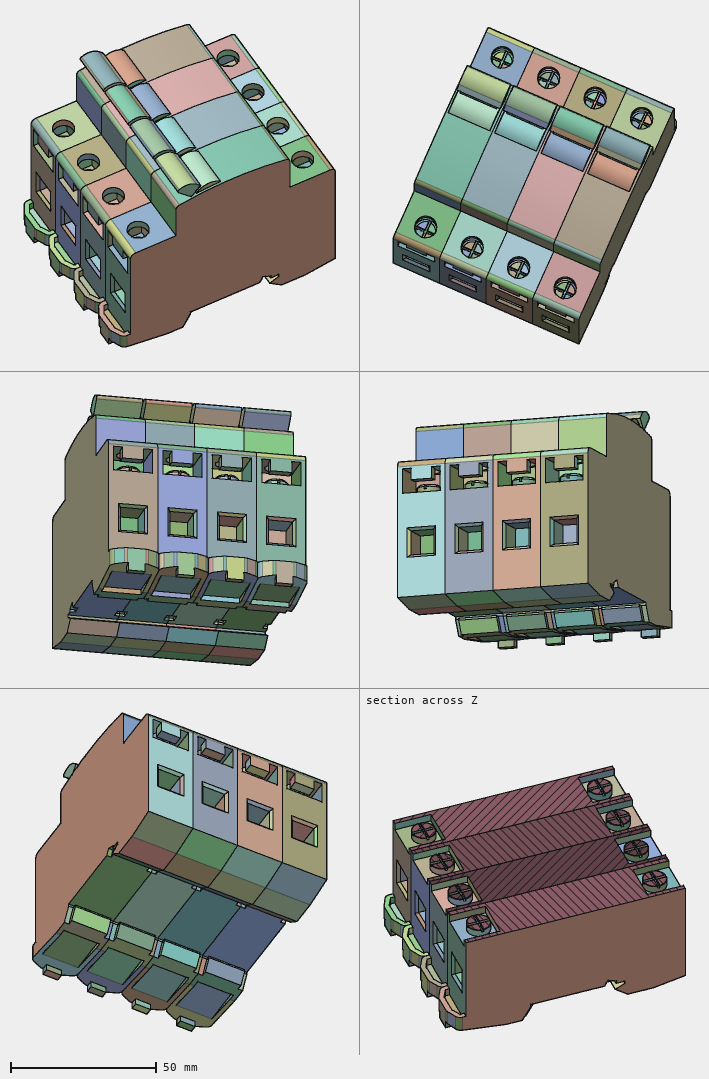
import cadquery as cq
import math

POLE_COUNT = 4
POLE_WIDTH = 17.5
MID_X = POLE_WIDTH / 2

DEPTH = 80.9
MID_Y = DEPTH / 2
SHOULDER_Z = 50.0
SHOULDER_RADIUS = 2.15
CROWN_DEPTH = 44.9
CROWN_FRONT = MID_Y - CROWN_DEPTH / 2
CROWN_BACK = MID_Y + CROWN_DEPTH / 2
CROWN_EDGE_Z = 65.2
CROWN_TOP_Z = 67.5
CROWN_EDGE_RADIUS = 1.7
FOOT_FRONT_Y = 14.8
FOOT_FRONT_RISE = 2.1
FOOT_BACK_Y = 69.05
FOOT_BACK_RISE = 2.0

SLOT_FRONT_Y = 23.8
SLOT_BACK_Y = 58.6
SLOT_TOP_Z = 6.2
SLOT_LIP_Z = 5.3
FRONT_JAW_FOOT_Y = 20.8
HOOK_TIP_Y = 55.0
HOOK_TIP_Z = 3.6
HOOK_FOOT_Y = 59.65
NOTCH_OUTLINE = [(55.3, SLOT_TOP_Z), (55.6, 7.15), (52.4, 8.5), (51.1, SLOT_TOP_Z)]
NOTCH_DEPTH = 1.7

CLIP_INNER_WIDTH = 14.0
CLIP_REACH = 5.3
CLIP_SIDE_LENGTH = 2.8
CLIP_NOSE_WIDTH = 7.5
CLIP_CORNER_RADIUS = 2.3
CLIP_TOP_Z = 8.2
CLIP_POCKET_DEPTH = 2.8
CLIP_POCKET_SIDE = 1.55
CLIP_POCKET_REACH = 3.3
CLIP_TAB_WIDTH = 5.9
CLIP_TAB_LENGTH = 2.7
CLIP_TAB_TOP_Z = 3.0
CLIP_CHANNEL_Z = 1.8
CLIP_CHANNEL_END_Y = 17.2
TONGUE_TIP_Y = 25.4
TONGUE_FLAT_Z = 4.6
TONGUE_FOOT_Y = 22.75

CHAMBER_WIDTH = 13.8
CHAMBER_DEPTH = 13.3
CHAMBER_FLOOR_Z = 38.45
CHAMBER_TOP_Z = 47.1
BLOCK_WIDTH = 7.5
BLOCK_DEPTH = 3.45
BLOCK_BOTTOM_Z = 43.0
SCREW_Y = 8.0
SCREW_HOLE_DIAMETER = 7.6
SCREW_DIAMETER = 8.45
SCREW_HEIGHT = 3.5
SCREW_CHAMFER = 0.9
CROSS_WIDTH = 0.8
CROSS_DEPTH = 1.6
WIRE_MOUTH_SIZE = 10.35
WIRE_SIZE = 8.45
WIRE_TAPER_DEPTH = 1.0
WIRE_DEPTH = 10.35
WIRE_Z = 21.0

HUB_Y = 31.7
HUB_Z = 62.8
HUB_RADIUS = 6.4
HUB_WIDTH = 15.7
TILT = 45
NECK_WIDTH = 13.8
NECK_THICKNESS = 2.9
LEVER_WIDTH = 16.4
LEVER_THICKNESS = 5.35
LEVER_BASE = 7.7
LEVER_SHOULDER = 10.2
LEVER_ROUND_RADIUS = 5.7
LEVER_TIP_RADIUS = 0.95


def box(x_range, y_range, z_range):
    """Box between pairs of limits along X, Y and Z."""
    (x0, x1), (y0, y1), (z0, z1) = x_range, y_range, z_range
    return cq.Workplane("XY").box(x1 - x0, y1 - y0, z1 - z0, centered=False).translate((x0, y0, z0))


def across(width):
    """X limits of a feature centred in the pole."""
    return (MID_X - width / 2, MID_X + width / 2)


def centred_prism(sketch, width):
    """Extrude a closed YZ sketch symmetrically about the middle of the pole."""
    return sketch.extrude(width / 2, both=True).translate((MID_X, 0, 0))


def housing_shell():
    """Plain housing: stepped outline with a domed crown and a rail slot below."""
    crown_drop = CROWN_TOP_Z - CROWN_EDGE_Z
    dome_radius = (crown_drop**2 + (CROWN_DEPTH / 2) ** 2) / (2 * crown_drop)
    quarter = CROWN_DEPTH / 4
    quarter_z = CROWN_TOP_Z - dome_radius + math.sqrt(dome_radius**2 - quarter**2)
    outline = (
        cq.Workplane("YZ")
        .moveTo(FOOT_FRONT_Y, 0)
        .lineTo(0, FOOT_FRONT_RISE)
        .lineTo(0, SHOULDER_Z)
        .lineTo(CROWN_FRONT, SHOULDER_Z)
        .lineTo(CROWN_FRONT, CROWN_EDGE_Z)
        .threePointArc((MID_Y - quarter, quarter_z), (MID_Y, CROWN_TOP_Z))
        .threePointArc((MID_Y + quarter, quarter_z), (CROWN_BACK, CROWN_EDGE_Z))
        .lineTo(CROWN_BACK, SHOULDER_Z)
        .lineTo(DEPTH, SHOULDER_Z)
        .lineTo(DEPTH, FOOT_BACK_RISE)
        .lineTo(FOOT_BACK_Y, 0)
        .lineTo(HOOK_FOOT_Y, 0)
        .lineTo(HOOK_TIP_Y, HOOK_TIP_Z)
        .lineTo(SLOT_BACK_Y, SLOT_LIP_Z)
        .lineTo(SLOT_BACK_Y, SLOT_TOP_Z)
        .lineTo(SLOT_FRONT_Y, SLOT_TOP_Z)
        .lineTo(SLOT_FRONT_Y, SLOT_LIP_Z)
        .lineTo(FRONT_JAW_FOOT_Y, 0)
        .close()
    )
    shell = centred_prism(outline, POLE_WIDTH)
    for y in (0, DEPTH):
        corner = cq.NearestToPointSelector((MID_X, y, SHOULDER_Z))
        shell = shell.edges(corner).fillet(SHOULDER_RADIUS)
    for y in (CROWN_FRONT, CROWN_BACK):
        corner = cq.NearestToPointSelector((MID_X, y, CROWN_EDGE_Z))
        shell = shell.edges(corner).fillet(CROWN_EDGE_RADIUS)
    return shell


def rail_notches():
    """Shallow notch above the rail hook, in both side faces."""
    notch = cq.Workplane("YZ").polyline(NOTCH_OUTLINE).close().extrude(NOTCH_DEPTH)
    return notch.union(notch.translate((POLE_WIDTH - NOTCH_DEPTH, 0, 0)))


def clip_outline(width, side_length, reach):
    """Half-hexagon in plan, standing out of the front face toward -Y."""
    left, right = across(width)
    nose_left, nose_right = across(CLIP_NOSE_WIDTH)
    points = [
        (left, 0),
        (left, -side_length),
        (nose_left, -reach),
        (nose_right, -reach),
        (right, -side_length),
        (right, 0),
    ]
    return cq.Workplane("XY").polyline(points).close()


def space_under_slope():
    """Wedge below the sloping underside, extended forward under the clip."""
    front_y = -CLIP_REACH
    front_z = FOOT_FRONT_RISE * (FOOT_FRONT_Y - front_y) / FOOT_FRONT_Y
    wedge = cq.Workplane("YZ").polyline([(FOOT_FRONT_Y, 0), (front_y, front_z), (front_y, 0)]).close()
    return centred_prism(wedge, POLE_WIDTH)


def clip_handle():
    """Front of the rail clip, with its finger pocket and pull tab."""
    handle = clip_outline(POLE_WIDTH, CLIP_SIDE_LENGTH, CLIP_REACH).extrude(CLIP_TOP_Z)
    handle = handle.edges("|Z and (not >Y)").fillet(CLIP_CORNER_RADIUS)
    handle = handle.cut(space_under_slope())
    pocket = clip_outline(CLIP_INNER_WIDTH, CLIP_POCKET_SIDE, CLIP_POCKET_REACH).extrude(CLIP_POCKET_DEPTH)
    handle = handle.cut(pocket.translate((0, 0, CLIP_TOP_Z - CLIP_POCKET_DEPTH)))
    tab = box(across(CLIP_TAB_WIDTH), (-CLIP_REACH, CLIP_TAB_LENGTH - CLIP_REACH), (0, CLIP_TAB_TOP_Z))
    return handle.union(tab)


def clip_tongue():
    """Back end of the rail clip, pointing into the rail slot."""
    outline = (
        cq.Workplane("YZ")
        .moveTo(FRONT_JAW_FOOT_Y, 0)
        .lineTo(SLOT_FRONT_Y, SLOT_LIP_Z)
        .lineTo(TONGUE_TIP_Y, SLOT_LIP_Z)
        .lineTo(TONGUE_TIP_Y, TONGUE_FLAT_Z)
        .lineTo(TONGUE_FOOT_Y, 0)
        .close()
    )
    return centred_prism(outline, CLIP_INNER_WIDTH)


def terminal_cavity():
    """Front terminal: screw chamber, screw hole and tapered wire entry."""
    chamber = box(across(CHAMBER_WIDTH), (0, CHAMBER_DEPTH), (CHAMBER_FLOOR_Z, CHAMBER_TOP_Z))
    block = box(across(BLOCK_WIDTH), (0, BLOCK_DEPTH), (BLOCK_BOTTOM_Z, CHAMBER_TOP_Z))
    hole = (
        cq.Workplane("XY", origin=(MID_X, SCREW_Y, BLOCK_BOTTOM_Z))
        .circle(SCREW_HOLE_DIAMETER / 2)
        .extrude(SHOULDER_Z - BLOCK_BOTTOM_Z)
    )
    mouth = (
        cq.Workplane("XZ", origin=(MID_X, 0, WIRE_Z))
        .rect(WIRE_MOUTH_SIZE, WIRE_MOUTH_SIZE)
        .workplane(offset=-WIRE_TAPER_DEPTH)
        .rect(WIRE_SIZE, WIRE_SIZE)
        .loft(ruled=True)
    )
    wire_z = (WIRE_Z - WIRE_SIZE / 2, WIRE_Z + WIRE_SIZE / 2)
    wire = box(across(WIRE_SIZE), (WIRE_TAPER_DEPTH, WIRE_DEPTH), wire_z)
    return chamber.cut(block).union(hole).union(mouth).union(wire)


def terminal_screw():
    """Cross-slotted screw head standing on the chamber floor."""
    head = cq.Workplane("XY").circle(SCREW_DIAMETER / 2).extrude(SCREW_HEIGHT)
    head = head.faces(">Z").chamfer(SCREW_CHAMFER)
    slot = (
        cq.Workplane("XY", origin=(0, 0, SCREW_HEIGHT - CROSS_DEPTH))
        .rect(SCREW_DIAMETER, CROSS_WIDTH)
        .extrude(CROSS_DEPTH)
    )
    cross = slot.union(slot.rotate((0, 0, 0), (0, 0, 1), 90))
    return head.cut(cross).translate((MID_X, SCREW_Y, CHAMBER_FLOOR_Z))


def at_back(feature):
    """Mirror image of a front feature at the back of the housing."""
    return feature.mirror("XZ", (0, MID_Y, 0))


def toggle():
    """Hub, neck and lever, drawn upright about the hub axis and then tilted."""
    half = LEVER_THICKNESS / 2
    round_y = LEVER_ROUND_RADIUS - half
    tip_height = LEVER_SHOULDER + math.sqrt(LEVER_ROUND_RADIUS**2 - (round_y - half) ** 2)
    mid_offset = LEVER_ROUND_RADIUS / math.sqrt(2)
    hub = centred_prism(cq.Workplane("YZ").circle(HUB_RADIUS), HUB_WIDTH)
    neck = centred_prism(
        cq.Workplane("YZ").center(0, LEVER_BASE / 2).rect(NECK_THICKNESS, LEVER_BASE), NECK_WIDTH
    )
    lever = centred_prism(
        cq.Workplane("YZ")
        .moveTo(-half, LEVER_BASE)
        .lineTo(half, LEVER_BASE)
        .lineTo(half, LEVER_SHOULDER)
        .threePointArc((mid_offset - round_y, LEVER_SHOULDER + mid_offset), (-half, tip_height))
        .close(),
        LEVER_WIDTH,
    )
    tip = cq.NearestToPointSelector((MID_X, -half, tip_height))
    lever = lever.edges(tip).fillet(LEVER_TIP_RADIUS)
    upright = hub.union(neck).union(lever)
    return upright.rotate((0, 0, 0), (1, 0, 0), TILT).translate((0, HUB_Y, HUB_Z))


def pole():
    """One complete breaker pole, a single solid with its left side at X = 0."""
    channel = box(across(CLIP_INNER_WIDTH), (0, CLIP_CHANNEL_END_Y), (0, CLIP_CHANNEL_Z))
    body = housing_shell().cut(rail_notches()).cut(channel)
    body = body.union(clip_handle()).union(clip_tongue())
    cavity = terminal_cavity()
    screw = terminal_screw()
    body = body.cut(cavity).cut(at_back(cavity))
    body = body.union(screw).union(at_back(screw))
    return body.union(toggle())


single_pole = pole()
poles = [single_pole.translate((i * POLE_WIDTH, 0, 0)) for i in range(POLE_COUNT)]

result = cq.Compound.makeCompound([breaker.val() for breaker in poles])